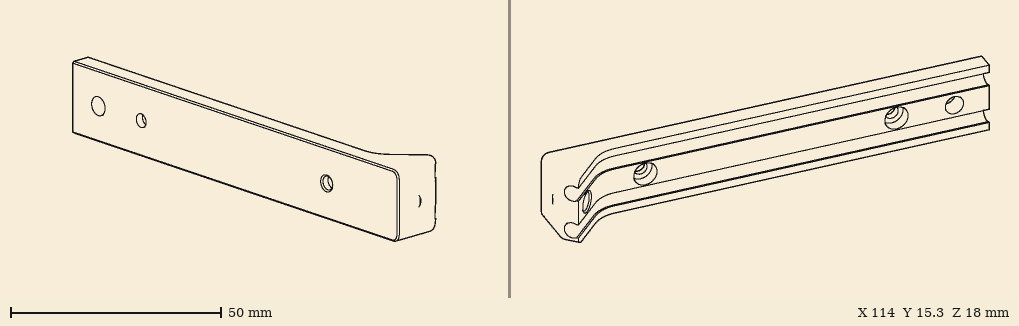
import cadquery as cq
import math

length = 114.0
height = 18.0
hook_height = 15.25
bar_thickness = 5.0

ramp_angle = 45.0
tip_x = 110.75
bend_radius = 8.5

corner_radius = 2.0
edge_chamfer = 0.4

groove_diameter = 4.2
groove_neck_width = 3.65
groove_depth = 3.6
groove_offset = 5.12
cut_overrun = 2.0

large_hole_x = 9.0
large_hole_diameter = 4.7
plain_screw_x = 24.0
chamfered_screw_x = 89.0
screw_hole_diameter = 3.4
counterbore_diameter = 6.0
counterbore_depth = 3.0

ramp_hole_height = 11.3
ramp_hole_diameter = 4.7
ramp_hole_depth = 8.0

mid_z = height / 2
ramp_radians = math.radians(ramp_angle)
sin_ramp = math.sin(ramp_radians)
cos_ramp = math.cos(ramp_radians)
ramp_foot_x = tip_x - (hook_height - bar_thickness) / math.tan(ramp_radians)
bend_center_x = ramp_foot_x - bend_radius * math.tan(ramp_radians / 2)
bend_center_y = bar_thickness + bend_radius
end_face_foot_y = hook_height - (length - tip_x) / math.tan(ramp_radians)


def bend_point(angle, depth):
    """Point on the bend, sunk by depth below the surface, at an angle (radians) along the bend."""
    radius = bend_radius + depth
    return (bend_center_x + radius * math.sin(angle), bend_center_y - radius * math.cos(angle))


def make_body():
    """Side outline of bar and hook, extruded over the full height."""
    outline = (
        cq.Workplane("XY")
        .lineTo(length, 0)
        .lineTo(length, end_face_foot_y)
        .lineTo(tip_x, hook_height)
        .lineTo(*bend_point(ramp_radians, 0))
        .threePointArc(bend_point(ramp_radians / 2, 0), bend_point(0, 0))
        .lineTo(0, bar_thickness)
        .close()
    )
    return outline.extrude(height)


def finish_edges(body):
    """Round the hook's end faces, then chamfer the rim of the flat face except at the plain end."""
    body = body.faces(">X").edges("|Z and >Y").fillet(corner_radius)
    body = body.faces(">X").edges("|Y").fillet(corner_radius)
    return body.faces("<Y").edges("not <X").chamfer(edge_chamfer)


def groove_cutter(center_z):
    """Keyhole section swept along the middle of its round channel, parallel to bar and ramp."""
    radius = groove_diameter / 2
    neck_half = groove_neck_width / 2
    neck_foot = math.sqrt(radius**2 - neck_half**2)
    path_depth = groove_depth - radius
    path_y = bar_thickness - path_depth
    neck_top = path_depth + cut_overrun
    bend_end = bend_point(ramp_radians, path_depth)
    ramp_length = (hook_height - bar_thickness) / sin_ramp + cut_overrun
    path = (
        cq.Workplane("XY")
        .moveTo(-cut_overrun, path_y)
        .lineTo(*bend_point(0, path_depth))
        .threePointArc(bend_point(ramp_radians / 2, path_depth), bend_end)
        .lineTo(bend_end[0] + ramp_length * cos_ramp, bend_end[1] + ramp_length * sin_ramp)
    )
    section = (
        cq.Workplane("YZ", origin=(-cut_overrun, path_y, 0))
        .moveTo(neck_top, -neck_half)
        .lineTo(neck_foot, -neck_half)
        .threePointArc((-radius, 0), (neck_foot, neck_half))
        .lineTo(neck_top, neck_half)
        .close()
    )
    return section.sweep(path).translate((0, 0, center_z))


def drill(origin, direction, diameter, depth, chamfer=0.0):
    """Round cutter from a surface point, with its rim widened by a 45 degree chamfer if given."""
    start = cq.Vector(*origin)
    axis = cq.Vector(*direction)
    radius = diameter / 2
    cutter = cq.Solid.makeCylinder(radius, depth, start, axis)
    if chamfer > 0:
        rim = cq.Solid.makeCone(radius + chamfer, radius, chamfer, start, axis)
        cutter = cutter.fuse(rim)
    return cutter


def large_hole():
    """Cutter for the plain hole through the bar."""
    return drill((large_hole_x, 0, mid_z), (0, 1, 0), large_hole_diameter, bar_thickness)


def screw_hole(x, chamfer=0.0):
    """Cutter for a hole through the bar, with a counterbore for the screw head on the grooved side."""
    bore = drill((x, 0, mid_z), (0, 1, 0), screw_hole_diameter, bar_thickness, chamfer)
    head = drill((x, bar_thickness, mid_z), (0, -1, 0), counterbore_diameter, counterbore_depth)
    return bore.fuse(head)


def ramp_hole():
    """Cutter for the blind hole square to the ramp."""
    center_x = tip_x - (hook_height - ramp_hole_height) / math.tan(ramp_radians)
    center = (center_x, ramp_hole_height, mid_z)
    into_ramp = (sin_ramp, -cos_ramp, 0)
    return drill(center, into_ramp, ramp_hole_diameter, ramp_hole_depth, edge_chamfer)


result = finish_edges(make_body())
for side in (-1, 1):
    result = result.cut(groove_cutter(mid_z + side * groove_offset))
result = result.cut(large_hole())
result = result.cut(screw_hole(plain_screw_x))
result = result.cut(screw_hole(chamfered_screw_x, edge_chamfer))
result = result.cut(ramp_hole())